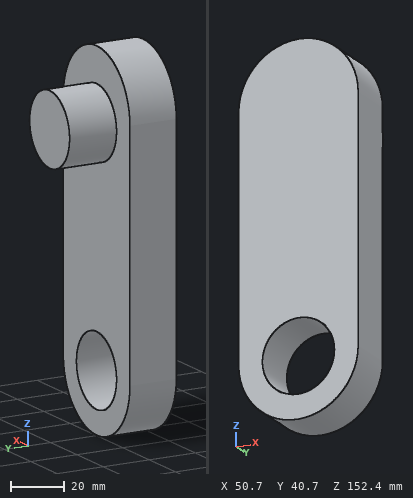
import cadquery as cq

length = 152.4
width = 50.7
plate_thickness = 20.3
overall_depth = 40.7
hole_diameter = 30.5
pin_diameter = 30.5
pin_drop_from_top = 30.0

end_radius = width / 2
hole_z = -length / 2 + end_radius
pin_z = length / 2 - pin_drop_from_top


def cylinder_along_y(diameter, z, y_start, y_end):
    """Cylinder parallel to Y, centred across the width at height z."""
    return (
        cq.Workplane("XZ", origin=(0, y_start, z))
        .circle(diameter / 2)
        .extrude(y_start - y_end)
    )


plate = cq.Workplane("XZ").slot2D(length, width, 90).extrude(-plate_thickness)

hole = cylinder_along_y(hole_diameter, hole_z, 0, plate_thickness)

pin = cylinder_along_y(pin_diameter, pin_z, 0, overall_depth)

result = plate.cut(hole).union(pin)